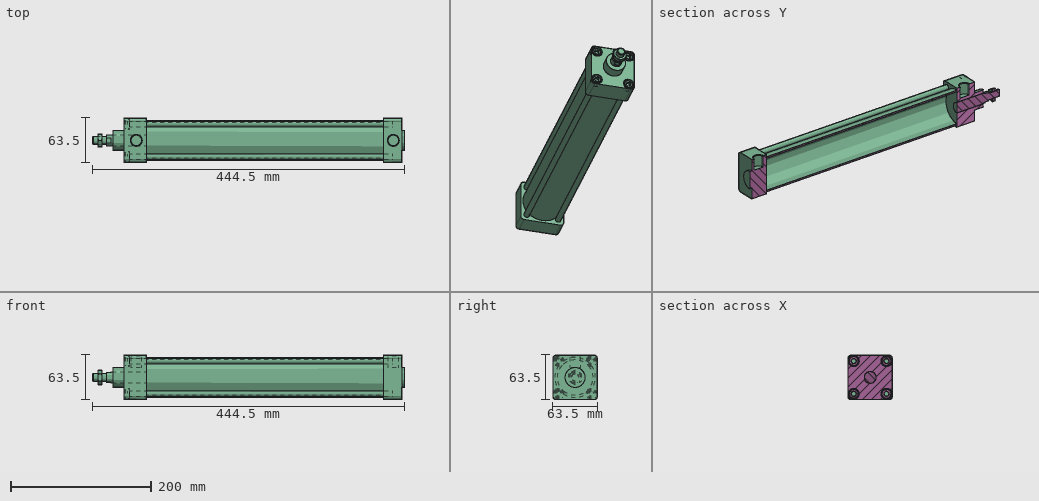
import cadquery as cq
import math

total_length = 444.5
nut_start = 7.5
nut_thickness = 6.0
thread_length = 19.5
front_spigot_start = 29.0
front_cap_start = 44.5
front_cap_length = 32.0
rear_cap_length = 26.2
rear_cap_end = 440.5
front_cap_end = front_cap_start + front_cap_length
rear_cap_start = rear_cap_end - rear_cap_length

cap_side = 63.5
cap_corner_radius = 5.0
spigot_diameter = 28.5

port_diameter = 15.0
port_mouth_diameter = 17.0
port_depth = 18.0
port_setback = 14.2

tube_outer_diameter = 57.5
tube_inner_diameter = 50.5

tie_rod_inset = 8.5
tie_rod_offset = cap_side / 2 - tie_rod_inset
tie_rod_diameter = 8.0
tie_head_diameter = 13.5
tie_head_length = 6.5
tie_head_recess = 1.5
counterbore_diameter = 15.0
counterbore_depth = tie_head_length + tie_head_recess
tie_head_chamfer = 1.1
socket_diameter = 6.5
socket_depth = 3.5
tie_rod_embedment = 13.5

thread_diameter = 11.5
thread_tip_chamfer = 1.0
rod_diameter = 16.0
flat_start = thread_length
flat_length = 6.2
flat_spacing = 14.2
nut_across_flats = 18.2
nut_face_diameter = nut_across_flats
nut_chamfer_length = 0.65


def cylinder_x(diameter, start, end, y=0, z=0):
    """Cylinder along X between two stations."""
    return (
        cq.Workplane("YZ", origin=(start, y, z))
        .circle(diameter / 2)
        .extrude(end - start)
    )


def port(x):
    """Blind round port cut down from the top face, with a chamfered mouth."""
    top = cap_side / 2
    bore = cq.Workplane("XY", origin=(x, 0, top)).circle(port_diameter / 2).extrude(-port_depth)
    mouth_depth = (port_mouth_diameter - port_diameter) / 2
    mouth = cq.Solid.makeCone(
        port_diameter / 2,
        port_mouth_diameter / 2,
        mouth_depth,
        pnt=cq.Vector(x, 0, top - mouth_depth),
    )
    return bore.union(cq.Workplane(mouth))


def cap_block(start, length, port_x):
    """Square block with its four edges along X rounded and a port in its top."""
    block = (
        cq.Workplane("YZ", origin=(start, 0, 0))
        .rect(cap_side, cap_side)
        .extrude(length)
        .edges("|X")
        .fillet(cap_corner_radius)
    )
    return block.cut(port(port_x))


tie_rod_places = [
    (y * tie_rod_offset, z * tie_rod_offset) for y in (-1, 1) for z in (-1, 1)
]


def make_front_cap():
    """Front cap with its spigot, the piston rod bore and four counterbored tie rod holes."""
    cap = cap_block(front_cap_start, front_cap_length, front_cap_end - port_setback)
    cap = cap.union(cylinder_x(spigot_diameter, front_spigot_start, front_cap_start))
    cap = cap.cut(cylinder_x(rod_diameter, front_spigot_start, front_cap_end))
    counterbore_end = front_cap_start + counterbore_depth
    for y, z in tie_rod_places:
        cap = cap.cut(cylinder_x(tie_rod_diameter, front_cap_start, front_cap_end, y, z))
        cap = cap.cut(cylinder_x(counterbore_diameter, front_cap_start, counterbore_end, y, z))
    return cap


def make_rear_cap():
    """Rear cap with its spigot and four blind tie rod holes in the face that meets the tube."""
    cap = cap_block(rear_cap_start, rear_cap_length, rear_cap_start + port_setback)
    cap = cap.union(cylinder_x(spigot_diameter, rear_cap_end, total_length))
    hole_end = rear_cap_start + tie_rod_embedment
    for y, z in tie_rod_places:
        cap = cap.cut(cylinder_x(tie_rod_diameter, rear_cap_start, hole_end, y, z))
    return cap


def make_tube():
    """Plain tube held between the two caps."""
    outer = cylinder_x(tube_outer_diameter, front_cap_end, rear_cap_start)
    return outer.cut(cylinder_x(tube_inner_diameter, front_cap_end, rear_cap_start))


def make_tie_rod(y, z):
    """Tie rod with a chamfered round head and a socket, sunk in the front cap."""
    head_start = front_cap_start + tie_head_recess
    head_end = head_start + tie_head_length
    rod = cylinder_x(tie_head_diameter, head_start, head_end, y, z)
    rod = rod.faces("<X").chamfer(tie_head_chamfer)
    rod = rod.union(
        cylinder_x(tie_rod_diameter, head_end, rear_cap_start + tie_rod_embedment, y, z)
    )
    return rod.cut(cylinder_x(socket_diameter, head_start, head_start + socket_depth, y, z))


def make_piston_rod():
    """Piston rod with a thinner threaded tip and two wrench flats behind the shoulder."""
    thread = cylinder_x(thread_diameter, 0, thread_length).faces("<X").chamfer(thread_tip_chamfer)
    rod = thread.union(cylinder_x(rod_diameter, thread_length, front_cap_end))
    for side in (-1, 1):
        flat_center = (flat_start + flat_length / 2, 0, side * (flat_spacing + rod_diameter) / 2)
        rod = rod.cut(
            cq.Workplane("XY", origin=flat_center).box(flat_length, rod_diameter, rod_diameter)
        )
    return rod


def make_nut():
    """Hexagon with corners up and down and flats facing along Y, its corners chamfered at both ends."""
    nut_end = nut_start + nut_thickness
    corner_diameter = nut_across_flats / math.cos(math.pi / 6)
    hexagon = (
        cq.Workplane("YZ", origin=(nut_start, 0, 0))
        .polygon(6, corner_diameter)
        .extrude(nut_thickness)
        .rotate((0, 0, 0), (1, 0, 0), 90)
    )
    shoulder_start = nut_start + nut_chamfer_length
    shoulder_end = nut_end - nut_chamfer_length
    envelope = (
        cq.Workplane("XY")
        .moveTo(nut_start, 0)
        .lineTo(nut_start, nut_face_diameter / 2)
        .lineTo(shoulder_start, corner_diameter / 2)
        .lineTo(shoulder_end, corner_diameter / 2)
        .lineTo(nut_end, nut_face_diameter / 2)
        .lineTo(nut_end, 0)
        .close()
        .revolve(360, (0, 0, 0), (1, 0, 0))
    )
    return hexagon.intersect(envelope).cut(cylinder_x(thread_diameter, nut_start, nut_end))


front_cap = make_front_cap()
rear_cap = make_rear_cap()
tube = make_tube()
tie_rods = [make_tie_rod(y, z) for y, z in tie_rod_places]
piston_rod = make_piston_rod()
nut = make_nut()

result = cq.Compound.makeCompound(
    [
        front_cap.val(),
        rear_cap.val(),
        tube.val(),
        *[tie_rod.val() for tie_rod in tie_rods],
        piston_rod.val(),
        nut.val(),
    ]
)